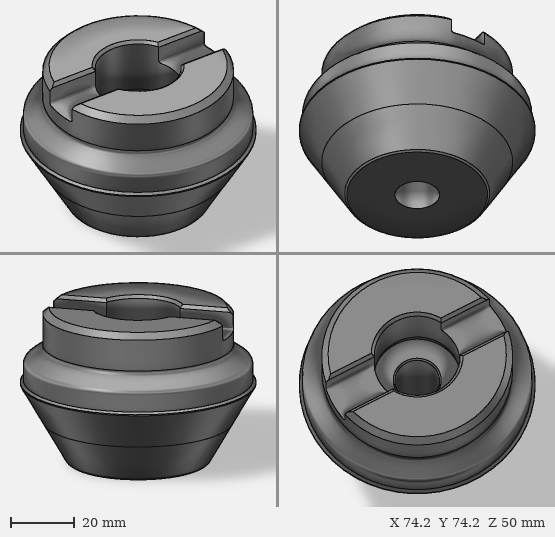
import cadquery as cq
import math

height = 50.0
core_radius = 60.0 / 2
cone_half_angle = math.radians(30)
foot_bevel_height = 0.5
foot_bevel_width = 0.7
top_bevel = 2.0

rim_radius = 37.1
rim_edge_height = 25.3
rim_top_height = 26.25
rim_land = 0.4
collar_radius = 72.15 / 2
shoulder_base_height = 32.6
shoulder_top_height = 36.85
shoulder_fillet = 2.0

bore_radius = 27.0 / 2
bore_depth = 18.0
bore_bevel = 1.0
relief_radius = 28.0 / 2
relief_length = 3.0
hole_radius = 14.0 / 2
hole_bevel = 0.5

slot_width = 12.4
slot_depth = 7.0
slot_bevel = 1.1
slot_fillet = 1.0


def cone_radius(z):
    """Radius of the shared outer cone at height z."""
    return rim_radius - (rim_edge_height - z) * math.tan(cone_half_angle)


cone_top_height = rim_edge_height - (rim_radius - core_radius) / math.tan(cone_half_angle)


def revolve_about_z(outline):
    """Solid of revolution from an open (radius, height) outline."""
    return outline.close().revolve(360, (0, 0), (0, 1))


def make_core_blank():
    """Turned core with bevelled foot and top, stepped bore and through hole."""
    foot_radius = cone_radius(foot_bevel_height)
    relief_top = height - bore_depth
    relief_floor = relief_top - relief_length
    return revolve_about_z(cq.Workplane("XZ").polyline([
        (hole_radius, 0),
        (foot_radius - foot_bevel_width, 0),
        (foot_radius, foot_bevel_height),
        (core_radius, cone_top_height),
        (core_radius, height - top_bevel),
        (core_radius - top_bevel, height),
        (bore_radius + bore_bevel, height),
        (bore_radius, height - bore_bevel),
        (bore_radius, relief_top),
        (relief_radius, relief_top),
        (relief_radius, relief_floor),
        (hole_radius + hole_bevel, relief_floor),
        (hole_radius, relief_floor - hole_bevel),
    ]))


def make_ring():
    """Ring with a sloped rim ledge and a shoulder blended into collar and core."""
    shoulder_width = collar_radius - core_radius
    shoulder_rise = shoulder_top_height - shoulder_base_height
    turn = math.atan2(shoulder_width, shoulder_rise)
    setback = shoulder_fillet * math.tan(turn / 2)
    slope_out = setback * math.sin(turn)
    slope_up = setback * math.cos(turn)
    mid_out = shoulder_fillet * (1 - math.cos(turn / 2))
    mid_up = shoulder_fillet * math.sin(turn / 2)
    lower_start = shoulder_base_height - setback
    upper_end = shoulder_top_height + setback

    return revolve_about_z(
        cq.Workplane("XZ")
        .moveTo(core_radius, cone_top_height)
        .lineTo(rim_radius, rim_edge_height)
        .lineTo(rim_radius, rim_edge_height + rim_land)
        .lineTo(collar_radius, rim_top_height)
        .lineTo(collar_radius, lower_start)
        .threePointArc(
            (collar_radius - mid_out, lower_start + mid_up),
            (collar_radius - slope_out, shoulder_base_height + slope_up),
        )
        .lineTo(core_radius + slope_out, shoulder_top_height - slope_up)
        .threePointArc(
            (core_radius + mid_out, upper_end - mid_up),
            (core_radius, upper_end),
        )
    )


def make_slot_cutter():
    """Slot along Y with rounded floor corners and bevelled mouth."""
    floor = height - slot_depth
    channel = (
        cq.Workplane("XY", origin=(0, 0, floor))
        .box(slot_width, 2 * rim_radius, slot_depth, centered=(True, True, False))
        .edges("|Y and <Z")
        .fillet(slot_fillet)
    )
    half_width = slot_width / 2
    mouth = (
        cq.Workplane("XZ")
        .polyline([
            (-half_width, height - slot_bevel),
            (half_width, height - slot_bevel),
            (half_width + slot_bevel, height),
            (-half_width - slot_bevel, height),
        ])
        .close()
        .extrude(rim_radius, both=True)
    )
    return channel.union(mouth)


core = make_core_blank().cut(make_slot_cutter()).solids()
ring = make_ring().solids()

result = cq.Compound.makeCompound([core.val(), ring.val()])